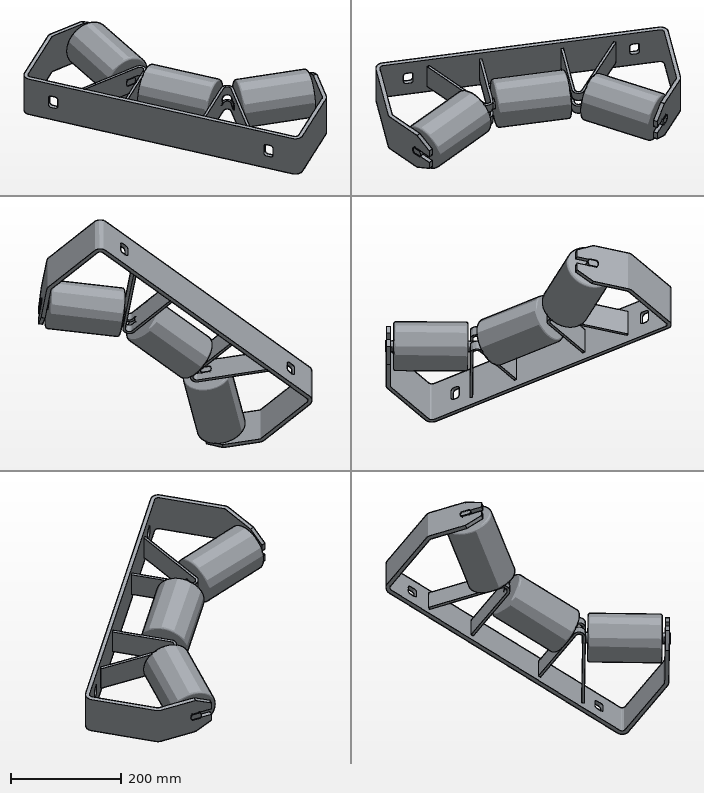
import cadquery as cq
import math

frame_length = 540.0
frame_height = 80.0
frame_thickness = 7.5
frame_bend_inside = 7.0
wall_corner_y = 139.5
arm_length = 103.5
arm_chamfer_along = 31.5
arm_chamfer_down = 18.0

bracket_height = 50.0
bracket_thickness = 5.0
bracket_bend_inside = 7.0
bracket_upright_x = 73.0
bracket_bend_y = 117.0
leg_weld_depth = 0.5

roller_diameter = 89.0
roller_length = 135.0
roller_fillet = 4.5
shaft_diameter = 20.0
shaft_flat_width = 14.0
flat_start = 3.0
bracket_shaft_reach = bracket_upright_x + bracket_thickness
arm_shaft_reach = 82.5
middle_roller_y = 101.0
side_roller_x = 162.0
side_roller_y = 153.0
side_tilt = 35.0

mount_hole_x = 209.0
mount_hole_width = 18.0
mount_hole_height = 25.5
mount_hole_fillet = 5.5

half_length = frame_length / 2
tilt = math.radians(side_tilt)
arm_rise = (math.sin(tilt), math.cos(tilt))


def unit(start, end):
    """Direction from one point to another, with length 1."""
    length = math.dist(start, end)
    return ((end[0] - start[0]) / length, (end[1] - start[1]) / length)


def inset_point(points, index, distance):
    """The point at the given distance to the right of the path, mitred at a corner."""
    before = points[max(index - 1, 0)]
    here = points[index]
    after = points[min(index + 1, len(points) - 1)]
    arriving = unit(before, here) if index > 0 else unit(here, after)
    leaving = unit(here, after) if index < len(points) - 1 else arriving
    normal_in = (arriving[1], -arriving[0])
    normal_out = (leaving[1], -leaving[0])
    scale = distance / (1 + normal_in[0] * normal_out[0] + normal_in[1] * normal_out[1])
    return (
        here[0] + scale * (normal_in[0] + normal_out[0]),
        here[1] + scale * (normal_in[1] + normal_out[1]),
    )


def bent_strip(outer, height, thickness, inside_radius):
    """A strip whose outer face follows the path, thickened to its right, with round bends."""
    inner = [inset_point(outer, i, thickness) for i in range(len(outer))]
    strip = cq.Workplane("XY").polyline(outer + inner[::-1]).close().extrude(height)
    strip = strip.translate((0, 0, -height / 2))
    for i in range(1, len(outer) - 1):
        for corner, radius in ((outer[i], inside_radius + thickness), (inner[i], inside_radius)):
            nearest = cq.selectors.NearestToPointSelector((corner[0], corner[1], 0))
            strip = strip.edges("|Z").edges(nearest).fillet(radius)
    return strip


def left_arm_tip():
    return (-half_length + arm_length * arm_rise[0], wall_corner_y + arm_length * arm_rise[1])


def make_tray():
    tip = left_arm_tip()
    left_side = [(-half_length, 0), (-half_length, wall_corner_y), tip]
    right_side = [(-x, y) for x, y in left_side[::-1]]
    return bent_strip(right_side + left_side, frame_height, frame_thickness, frame_bend_inside)


def arm_chamfers():
    """Wedges that cut the upper and lower corners off the left arm's tip."""
    half_height = frame_height / 2
    wedge = (
        cq.Workplane("YZ")
        .polyline([(-arm_chamfer_along, half_height), (0, half_height), (0, half_height - arm_chamfer_down)])
        .close()
        .extrude(frame_thickness, both=True)
    )
    wedges = wedge.union(wedge.mirror("XY"))
    return wedges.rotate((0, 0, 0), (0, 0, 1), -side_tilt).translate((*left_arm_tip(), 0))


def make_left_bracket():
    fold_radius = bracket_bend_inside + bracket_thickness
    apex = (-bracket_upright_x, bracket_bend_y + fold_radius / math.tan(tilt / 2))
    foot_y = frame_thickness - leg_weld_depth + bracket_thickness * arm_rise[0]
    leg_length = (apex[1] - foot_y) / arm_rise[1]
    foot = (apex[0] - leg_length * arm_rise[0], foot_y)
    path = [foot, apex, (-bracket_upright_x, frame_thickness)]
    return bent_strip(path, bracket_height, bracket_thickness, bracket_bend_inside)


def rod(diameter, low_x, high_x):
    """Round bar along X."""
    return cq.Workplane("YZ", origin=(low_x, 0, 0)).circle(diameter / 2).extrude(high_x - low_x)


def flatted_shaft(left_reach, right_reach):
    """Shaft along X with flats above and below."""
    slab = cq.Workplane("XY").box(2 * (left_reach + right_reach), shaft_diameter, shaft_flat_width)
    return rod(shaft_diameter, -left_reach, right_reach).intersect(slab)


def make_roller(left_reach, right_reach):
    """Roller with its shaft, along X and centred on the origin."""
    body = rod(roller_diameter, -roller_length / 2, roller_length / 2)
    body = body.faces("<X or >X").edges().fillet(roller_fillet)
    round_shaft_end = roller_length / 2 + flat_start
    hub = rod(shaft_diameter, -round_shaft_end, round_shaft_end)
    return body.union(hub).union(flatted_shaft(left_reach, right_reach))


def shaft_slot(left_reach, right_reach):
    """Space for a shaft and the open slot above it, reaching on through the bracket's fold."""
    opening = cq.Workplane("XY").box(
        left_reach + right_reach + 2 * bracket_bend_inside,
        roller_diameter,
        shaft_flat_width,
        centered=(False, False, True),
    )
    opening = opening.translate((-left_reach - bracket_bend_inside, 0, 0))
    return opening.union(flatted_shaft(left_reach, right_reach))


def at_middle(shape):
    return shape.translate((0, middle_roller_y, 0))


def at_left(shape):
    return shape.rotate((0, 0, 0), (0, 0, 1), -side_tilt).translate((-side_roller_x, side_roller_y, 0))


def mount_hole():
    return (
        cq.Workplane("XY")
        .box(mount_hole_width, 4 * frame_thickness, mount_hole_height)
        .edges("|Y")
        .fillet(mount_hole_fillet)
        .translate((-mount_hole_x, 0, 0))
    )


def both_sides(left_shape):
    """A shape on the left and its mirror image on the right."""
    return left_shape, left_shape.mirror("YZ")


def make_frame():
    """Tray and brackets, with the middle roller fixed between the brackets."""
    frame = make_tray()
    for bracket in both_sides(make_left_bracket()):
        frame = frame.union(bracket)
    left_cuts = (arm_chamfers(), mount_hole(), at_left(shaft_slot(arm_shaft_reach, bracket_shaft_reach)))
    for left_cut in left_cuts:
        for cut in both_sides(left_cut):
            frame = frame.cut(cut)
    frame = frame.cut(at_middle(shaft_slot(bracket_shaft_reach, bracket_shaft_reach)))
    return frame.union(at_middle(make_roller(bracket_shaft_reach, bracket_shaft_reach)))


frame = make_frame()
side_rollers = both_sides(at_left(make_roller(arm_shaft_reach, bracket_shaft_reach)))

result = cq.Compound.makeCompound([frame.val(), *(roller.val() for roller in side_rollers)])